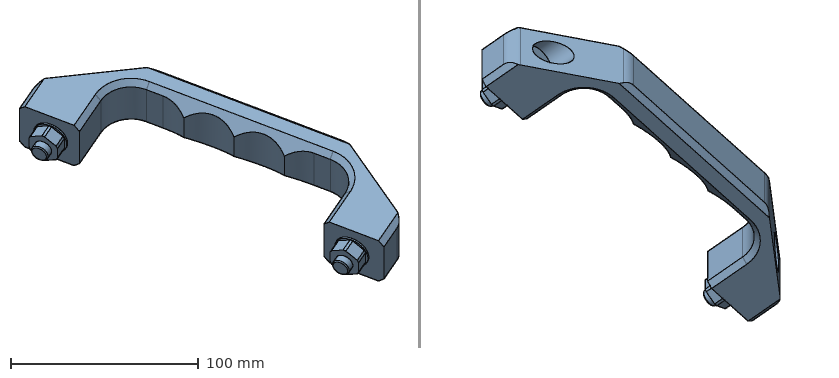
import cadquery as cq
import math

length = 218.0
thickness = 32.0
body_depth = 58.0
chamfer = 3.3
corner_radius = 10.0
foot_side_height = 20.5
back_length = 112.0

foot_width = 36.0
opening_radius = 18.0
opening_depth = 43.0
opening_chamfer = 3.3

scallop_radius = 25.0
scallop_pitch = 30.0
ridge_count = 3

bolt_spacing = 180.0
access_hole_diameter = 18.5
access_hole_floor = 25.0
washer_diameter = 19.8
washer_thickness = 1.0
nut_width = 17.0
nut_corner_diameter = 18.7
nut_height = 8.0
stud_diameter = 10.0
stud_reach = 14.0
stud_chamfer = 0.7

half_length = length / 2
half_thickness = thickness / 2
bolt_positions = (-bolt_spacing / 2, bolt_spacing / 2)
scallop_depth = scallop_radius - math.sqrt(scallop_radius**2 - (scallop_pitch / 2) ** 2)


def outer_block():
    """Handle without its opening, with rounded corners and chamfered long edges."""
    half_back = back_length / 2
    outline = [
        (-half_length, 0),
        (half_length, 0),
        (half_length, foot_side_height),
        (half_back, body_depth),
        (-half_back, body_depth),
        (-half_length, foot_side_height),
    ]
    block = cq.Workplane("XY").polyline(outline).close().extrude(half_thickness, both=True)
    block = block.edges("|Z").edges("not <Y").fillet(corner_radius)

    foot_trim = cq.Workplane("XZ").rect(length, thickness).extrude(-body_depth)
    foot_trim = foot_trim.edges("|Y").chamfer(chamfer)
    back_trim = (
        cq.Workplane("YZ")
        .rect(2 * body_depth, thickness)
        .extrude(half_length, both=True)
        .edges("|X")
        .chamfer(chamfer)
    )
    return block.intersect(foot_trim).intersect(back_trim)


def arch(offset, bottom, level):
    """Arched outline of the opening, grown by offset, on the plane Z = level."""
    radius = opening_radius + offset
    half_width = half_length - foot_width + offset
    top = opening_depth + offset
    arc_x = half_width - radius
    arc_y = top - radius
    return (
        cq.Workplane("XY", origin=(0, 0, level))
        .moveTo(-half_width, bottom)
        .lineTo(-half_width, arc_y)
        .radiusArc((-arc_x, top), radius)
        .lineTo(arc_x, top)
        .radiusArc((half_width, arc_y), radius)
        .lineTo(half_width, bottom)
        .close()
    )


def finger_ridges():
    """Cusps between neighbouring scallops, rooted in the grip.

    The first and last scallop are half arcs that start level with the grip underside.
    """
    end_x = ridge_count * scallop_pitch / 2
    root_y = opening_depth + opening_chamfer
    tip_y = opening_depth - scallop_depth
    tips = [(-end_x + (i + 0.5) * scallop_pitch, tip_y) for i in range(ridge_count)]

    outline = cq.Workplane("XY").moveTo(-end_x, root_y).lineTo(-end_x, opening_depth)
    for point in tips + [(end_x, opening_depth)]:
        outline = outline.radiusArc(point, scallop_radius)
    return outline.lineTo(end_x, root_y).close().extrude(half_thickness, both=True)


def opening_chamfer_cut():
    """45 degree cut around the opening on the +Z face, deep enough to trim the cusps."""
    cut_depth = opening_chamfer + scallop_depth
    return arch(opening_chamfer, -body_depth, half_thickness).extrude(-cut_depth, taper=45)


def fastener(x):
    """Washer, nut and stud end below the mounting face."""
    face = cq.Workplane("XZ", origin=(x, 0, 0))
    washer = face.circle(washer_diameter / 2).extrude(washer_thickness)

    nut_base = face.workplane(offset=washer_thickness)
    nut = nut_base.polygon(6, nut_width, circumscribed=True).extrude(nut_height)
    nut = nut.intersect(nut_base.circle(nut_corner_diameter / 2).extrude(nut_height))

    stud = face.circle(stud_diameter / 2).extrude(stud_reach).faces("<Y").chamfer(stud_chamfer)
    return washer.union(nut).union(stud)


def access_hole(x):
    """Blind hole through the sloped leg, in line with the stud."""
    floor = cq.Workplane("XZ", origin=(x, access_hole_floor, 0))
    return floor.circle(access_hole_diameter / 2).extrude(access_hole_floor - body_depth)


chamfer_cut = opening_chamfer_cut()
opening = arch(0, -body_depth, -half_thickness).extrude(thickness)
result = outer_block().cut(opening).union(finger_ridges())
result = result.cut(chamfer_cut).cut(chamfer_cut.mirror("XY"))
for bolt_x in bolt_positions:
    result = result.cut(access_hole(bolt_x)).union(fastener(bolt_x))